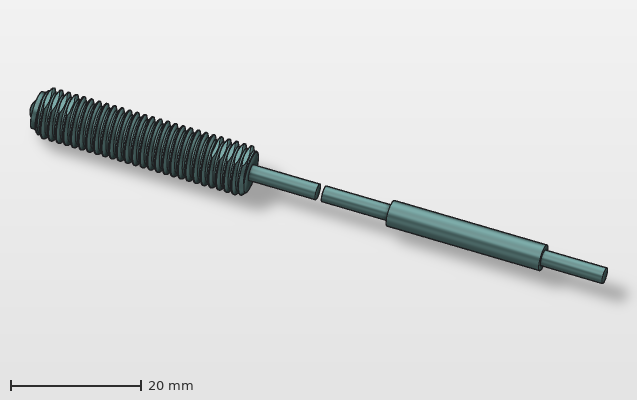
import cadquery as cq
import math

TOTAL_LENGTH = 94.0
CABLE_DIAMETER = 2.5
CABLE_GAP = 1.0
SENSOR_CABLE_END = 47.0

DOME_HEIGHT = 1.0
DOME_DIAMETER = 3.8
COLLAR_DIAMETER = 5.9
BARREL_START = 1.9
BARREL_END = 36.1
BARREL_DIAMETER = 8.0
END_CHAMFER = 0.75

COUNTED_TURNS = 10
COUNTED_TURNS_LENGTH = 12.5
THREAD_PITCH = COUNTED_TURNS_LENGTH / COUNTED_TURNS
THREAD_DEPTH = 0.7
FLANK_ANGLE = 60
ROOT_WIDTH = 0.33
HELIX_START = 0.3
CUTTER_OVERLAP = 0.05

ACROSS_FLATS = 7.0
FRONT_FLAT_END = 6.9
REAR_FLAT_START = 30.1

SLEEVE_START = 58.9
SLEEVE_LENGTH = 25.0
SLEEVE_DIAMETER = 4.1


def cylinder_along_x(start, end, diameter):
    """Cylinder about the X axis, between two places along it."""
    return cq.Workplane("YZ", origin=(start, 0, 0)).circle(diameter / 2).extrude(end - start)


def sensor_blank():
    """Turned shape of the tip, collar, unthreaded barrel and cable stub."""
    dome_radius = DOME_DIAMETER / 2
    collar_radius = COLLAR_DIAMETER / 2
    barrel_radius = BARREL_DIAMETER / 2
    chamfer_radius = barrel_radius - END_CHAMFER
    cable_radius = CABLE_DIAMETER / 2
    sphere_radius = (dome_radius**2 + DOME_HEIGHT**2) / (2 * DOME_HEIGHT)
    half_angle = math.asin(dome_radius / sphere_radius) / 2
    arc_middle = (sphere_radius * (1 - math.cos(half_angle)), sphere_radius * math.sin(half_angle))
    profile = (
        cq.Workplane("XZ")
        .moveTo(0, 0)
        .threePointArc(arc_middle, (DOME_HEIGHT, dome_radius))
        .lineTo(DOME_HEIGHT, collar_radius)
        .lineTo(BARREL_START, collar_radius)
        .lineTo(BARREL_START, chamfer_radius)
        .lineTo(BARREL_START + END_CHAMFER, barrel_radius)
        .lineTo(BARREL_END - END_CHAMFER, barrel_radius)
        .lineTo(BARREL_END, chamfer_radius)
        .lineTo(BARREL_END, cable_radius)
        .lineTo(SENSOR_CABLE_END, cable_radius)
        .lineTo(SENSOR_CABLE_END, 0)
        .close()
    )
    return profile.revolve(360, (0, 0, 0), (1, 0, 0))


def thread_groove():
    """Right-hand helical groove that runs out through both ends of the barrel."""
    root_radius = BARREL_DIAMETER / 2 - THREAD_DEPTH
    outer_radius = BARREL_DIAMETER / 2 + CUTTER_OVERLAP
    half_root = ROOT_WIDTH / 2
    half_mouth = half_root + (outer_radius - root_radius) * math.tan(math.radians(FLANK_ANGLE / 2))
    turns = math.ceil((BARREL_END + THREAD_PITCH - HELIX_START) / THREAD_PITCH)
    one_turn = cq.Wire.makeHelix(THREAD_PITCH, THREAD_PITCH, root_radius).Edges()[0]
    helix_turns = [one_turn.translate(cq.Vector(0, 0, turn * THREAD_PITCH)) for turn in range(turns)]
    helix = cq.Workplane(cq.Wire.assembleEdges(helix_turns))
    section = cq.Workplane("XZ").polyline([
        (root_radius, -half_root),
        (outer_radius, -half_mouth),
        (outer_radius, half_mouth),
        (root_radius, half_root),
    ]).close()
    groove = section.sweep(helix, isFrenet=True)
    return groove.rotate((0, 0, 0), (0, 1, 0), 90).translate((HELIX_START, 0, 0))


def wrench_flats():
    """Blocks that trim the top and bottom of the barrel at both ends."""
    blocks = []
    for start, end in ((BARREL_START, FRONT_FLAT_END), (REAR_FLAT_START, BARREL_END)):
        for side in (-1, 1):
            center = ((start + end) / 2, 0, side * (ACROSS_FLATS + BARREL_DIAMETER) / 2)
            blocks.append(cq.Workplane(origin=center).box(end - start, BARREL_DIAMETER, BARREL_DIAMETER))
    return blocks


def make_sensor():
    """Domed sensor with its flatted, threaded barrel and its cable stub, as one solid."""
    sensor = sensor_blank()
    for block in wrench_flats():
        sensor = sensor.cut(block)
    return sensor.cut(thread_groove())


def make_sleeved_cable():
    """Loose cable piece with the sleeve around it, as one solid."""
    cable = cylinder_along_x(SENSOR_CABLE_END + CABLE_GAP, TOTAL_LENGTH, CABLE_DIAMETER)
    sleeve = cylinder_along_x(SLEEVE_START, SLEEVE_START + SLEEVE_LENGTH, SLEEVE_DIAMETER)
    return cable.union(sleeve)


sensor = make_sensor()
sleeved_cable = make_sleeved_cable()
result = cq.Compound.makeCompound([sensor.val(), sleeved_cable.val()])